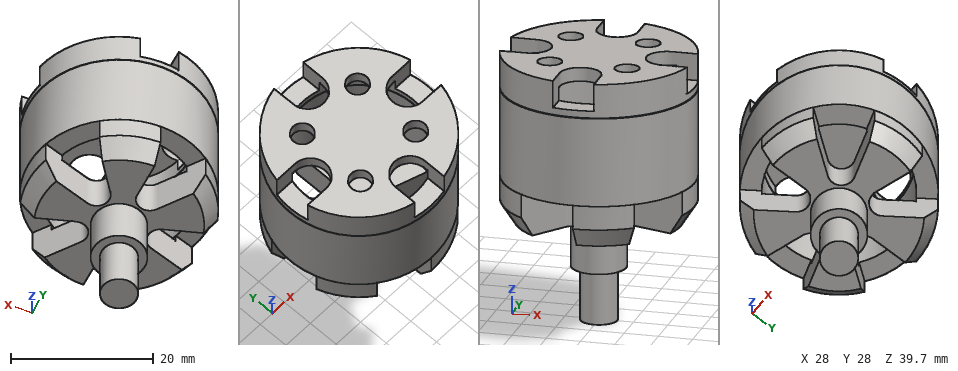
import cadquery as cq
import math

total_height = 39.7
outer_radius = 13.995
bore_radius = 10.9

pin_radius = 2.7
pin_length = 7.98
shaft_radius = 4.0
spider_bottom = 14.95
spider_height = 6.55
spider_top = spider_bottom + spider_height
taper_height = 3.05
taper_inset = 2.0
spider_recess_depth = 1.05
gap_tangent_radius = 6.1
arm_count = 5
arm_pitch = 360 / arm_count
gap_angle = arm_pitch / 2

cap_height = 5.0
cap_bottom = total_height - cap_height
plate_thickness = 2.02
slot_depth = 3.97
slot_width = 5.95
slot_inner_reach = 6.95
slot_count = 4
cap_hole_diameter = 3.55
cap_hole_offset = 5.65

cap_clearance = 0.1


def cylinder(radius, bottom, height):
    return cq.Workplane("XY").workplane(offset=bottom).circle(radius).extrude(height)


def make_spider_gap(middle_angle):
    """Radial gap between two arms, its sides joined by a tangent inner arc."""
    half_angle = math.radians(gap_angle / 2)
    tangent_x = gap_tangent_radius * math.cos(half_angle)
    tangent_y = gap_tangent_radius * math.sin(half_angle)
    arc_radius = gap_tangent_radius * math.tan(half_angle)
    arc_bottom_x = gap_tangent_radius / math.cos(half_angle) - arc_radius
    reach = 2 * outer_radius
    half_width = reach * math.tan(half_angle)
    gap = (
        cq.Workplane("XY")
        .workplane(offset=spider_bottom)
        .moveTo(reach, -half_width)
        .lineTo(tangent_x, -tangent_y)
        .threePointArc((arc_bottom_x, 0), (tangent_x, tangent_y))
        .lineTo(reach, half_width)
        .close()
        .extrude(spider_height)
    )
    return gap.rotate((0, 0, 0), (0, 0, 1), middle_angle)


def make_spider():
    """Five tapered arms on a hub, with the stepped shaft below."""
    profile = [
        (0, spider_bottom),
        (outer_radius - taper_inset, spider_bottom),
        (outer_radius, spider_bottom + taper_height),
        (outer_radius, spider_top),
        (0, spider_top),
    ]
    spider = cq.Workplane("XZ").polyline(profile).close().revolve(360, (0, 0), (0, 1))
    for index in range(arm_count):
        spider = spider.cut(make_spider_gap((index + 0.5) * arm_pitch))
    recess = cylinder(bore_radius, spider_top - spider_recess_depth, spider_recess_depth)
    shaft = cylinder(shaft_radius, pin_length, spider_bottom - pin_length)
    pin = cylinder(pin_radius, 0, pin_length)
    return spider.cut(recess).union(shaft).union(pin)


def make_sleeve():
    """Plain tube standing on the arms, just clear of the cap."""
    height = cap_bottom - cap_clearance - spider_top
    return cylinder(outer_radius, spider_top, height).cut(cylinder(bore_radius, spider_top, height))


def make_cap_slot(angle):
    """Slot open at the rim, with a round inner end."""
    slot_radius = slot_width / 2
    arc_center = slot_inner_reach + slot_radius
    slot = (
        cq.Workplane("XY")
        .workplane(offset=total_height - slot_depth)
        .moveTo(outer_radius + slot_radius, -slot_radius)
        .lineTo(arc_center, -slot_radius)
        .threePointArc((slot_inner_reach, 0), (arc_center, slot_radius))
        .lineTo(outer_radius + slot_radius, slot_radius)
        .close()
        .extrude(slot_depth)
    )
    return slot.rotate((0, 0, 0), (0, 0, 1), angle)


def make_cap():
    """Hollow cap with four rim slots and four holes through its plate."""
    cap = cylinder(outer_radius, cap_bottom, cap_height)
    cap = cap.cut(cylinder(bore_radius, cap_bottom, cap_height - plate_thickness))
    for index in range(slot_count):
        cap = cap.cut(make_cap_slot(index * 360 / slot_count))
    holes = (
        cq.Workplane("XY")
        .workplane(offset=cap_bottom)
        .rect(2 * cap_hole_offset, 2 * cap_hole_offset, forConstruction=True)
        .vertices()
        .circle(cap_hole_diameter / 2)
        .extrude(cap_height)
    )
    return cap.cut(holes)


spider = make_spider()
sleeve = make_sleeve()
cap = make_cap()

result = cq.Compound.makeCompound([spider.val(), sleeve.val(), cap.val()])